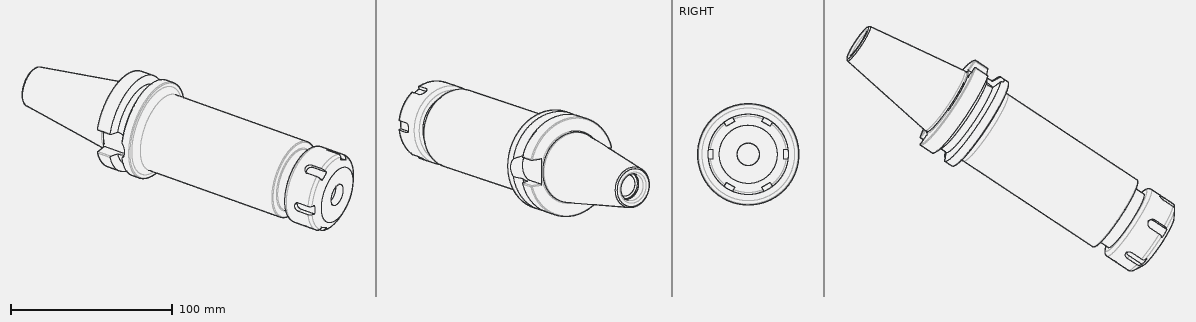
import cadquery as cq
import math

total_length = 225.8
through_bore_diameter = 13.8

taper_small_diameter = 25.7
taper_large_diameter = 44.5
taper_length = 65.5
taper_root_fillet = 0.7
taper_end_chamfer = 1.0
pull_stud_bore_diameter = 17.0
pull_stud_bore_depth = 6.5
pull_stud_mouth_fillet = 1.4
relief_diameter = 17.4
relief_width = 1.5

flange_diameter = 63.0
flange_start = 67.5
flange_end = 92.4
outer_edge_fillet = 0.59
groove_floor_diameter = 52.8
groove_start = 77.2
groove_floor_start = 79.5
groove_floor_end = 84.2
groove_end = 86.5

keyway_width = 16.0
keyway_end = 88.7
keyway_floor_offset = 22.5

body_diameter = 50.0
body_end = 194.2
body_fillet = 3.8
neck_diameter = 40.0
neck_fillet = 0.56

nut_diameter = 50.0
nut_start = 202.0
nut_back_fillet = 2.3
nut_front_fillet = 2.5
nut_face_diameter = 36.1
nut_cone_angle = 30.0
nut_front_wall = 5.5
spanner_slot_count = 6
spanner_slot_width = 6.0
spanner_slot_start = 210.5
spanner_slot_floor_offset = 22.0

neck_end = total_length - nut_front_wall


def revolve_about_x(profile):
    return profile.close().revolve(360, (0, 0, 0), (1, 0, 0))


def cylinder_along_x(diameter, start, end):
    return cq.Workplane("YZ", origin=(start, 0, 0)).circle(diameter / 2).extrude(end - start)


def round_ended_slot(width, floor_offset, start, end, outer_offset):
    """Slot on the -Y side: a round end on one X end, running to the other, above a flat floor."""
    radius = width / 2
    direction = 1 if end > start else -1
    round_centre = start + direction * radius
    return (
        cq.Workplane("XZ", origin=(0, -floor_offset, 0))
        .moveTo(end, -radius)
        .lineTo(round_centre, -radius)
        .threePointArc((start, 0), (round_centre, radius))
        .lineTo(end, radius)
        .close()
        .extrude(outer_offset - floor_offset)
    )


def holder_blank():
    small_radius = taper_small_diameter / 2
    large_radius = taper_large_diameter / 2
    flange_radius = flange_diameter / 2
    floor_radius = groove_floor_diameter / 2
    body_radius = body_diameter / 2
    neck_radius = neck_diameter / 2
    profile = (
        cq.Workplane("XY")
        .moveTo(0, 0)
        .lineTo(0, small_radius - taper_end_chamfer)
        .lineTo(taper_end_chamfer, small_radius)
        .lineTo(taper_length, large_radius)
        .lineTo(flange_start - taper_root_fillet, large_radius)
        .radiusArc((flange_start, large_radius + taper_root_fillet), -taper_root_fillet)
        .lineTo(flange_start, flange_radius)
        .lineTo(groove_start, flange_radius)
        .lineTo(groove_floor_start, floor_radius)
        .lineTo(groove_floor_end, floor_radius)
        .lineTo(groove_end, flange_radius)
        .lineTo(flange_end - outer_edge_fillet, flange_radius)
        .radiusArc((flange_end, flange_radius - outer_edge_fillet), outer_edge_fillet)
        .lineTo(flange_end, body_radius + body_fillet)
        .radiusArc((flange_end + body_fillet, body_radius), -body_fillet)
        .lineTo(body_end - outer_edge_fillet, body_radius)
        .radiusArc((body_end, body_radius - outer_edge_fillet), outer_edge_fillet)
        .lineTo(body_end, neck_radius + neck_fillet)
        .radiusArc((body_end + neck_fillet, neck_radius), -neck_fillet)
        .lineTo(neck_end, neck_radius)
        .lineTo(neck_end, 0)
    )
    return revolve_about_x(profile)


def holder_bore():
    stud_radius = pull_stud_bore_diameter / 2
    relief_radius = relief_diameter / 2
    relief_end = pull_stud_bore_depth + relief_width
    bore_radius = through_bore_diameter / 2
    profile = (
        cq.Workplane("XY")
        .moveTo(0, 0)
        .lineTo(0, stud_radius + pull_stud_mouth_fillet)
        .radiusArc((pull_stud_mouth_fillet, stud_radius), -pull_stud_mouth_fillet)
        .lineTo(pull_stud_bore_depth, stud_radius)
        .lineTo(pull_stud_bore_depth, relief_radius)
        .lineTo(relief_end, relief_radius)
        .lineTo(relief_end, bore_radius)
        .lineTo(neck_end, bore_radius)
        .lineTo(neck_end, 0)
    )
    return revolve_about_x(profile)


def make_holder():
    holder = holder_blank()
    keyway = round_ended_slot(keyway_width, keyway_floor_offset, keyway_end, flange_start, flange_diameter)
    for angle in (0, 180):
        holder = holder.cut(keyway.rotate((0, 0, 0), (1, 0, 0), angle))
    holder = round_front_flange(holder)
    return holder.cut(holder_bore())


def edges_between(body, start, end, lowest):
    """Edges that lie between two X stations and wholly above the height `lowest`."""
    margin = 0.02
    low_corner = (start - margin, -flange_diameter, lowest - margin)
    high_corner = (end + margin, flange_diameter, flange_diameter)
    return body.edges(cq.selectors.BoxSelector(low_corner, high_corner, boundingbox=True))


def round_front_flange(holder):
    """Round the outline of the front flange face and the outer edges of the keyway walls.

    The upper half is rounded, then the holder is turned half a turn to bring up the other half.
    """
    half_width = keyway_width / 2
    for _ in ("top half", "bottom half"):
        face_outline = edges_between(holder, flange_start, flange_start, half_width)
        wall_edges = edges_between(holder, flange_start, groove_start, half_width).edges("|X")
        holder = face_outline.add(wall_edges).fillet(outer_edge_fillet)
        holder = holder.rotate((0, 0, 0), (1, 0, 0), 180)
    return holder


def nut_blank():
    nut_radius = nut_diameter / 2
    face_radius = nut_face_diameter / 2
    cone_length = (nut_radius - face_radius) * math.tan(math.radians(nut_cone_angle))
    cone_start = total_length - cone_length
    profile = (
        cq.Workplane("XY")
        .moveTo(nut_start, 0)
        .lineTo(nut_start, nut_radius)
        .lineTo(cone_start, nut_radius)
        .lineTo(total_length, face_radius)
        .lineTo(total_length, 0)
    )
    nut = revolve_about_x(profile)
    back_edge = cq.selectors.NearestToPointSelector((nut_start, 0, nut_radius))
    front_edge = cq.selectors.NearestToPointSelector((cone_start, 0, nut_radius))
    return nut.edges(back_edge).fillet(nut_back_fillet).edges(front_edge).fillet(nut_front_fillet)


def make_nut():
    nut = nut_blank()
    nut = nut.cut(cylinder_along_x(neck_diameter, nut_start, neck_end))
    nut = nut.cut(cylinder_along_x(through_bore_diameter, neck_end, total_length))
    slot = round_ended_slot(
        spanner_slot_width, spanner_slot_floor_offset, spanner_slot_start, total_length, nut_diameter
    )
    for index in range(spanner_slot_count):
        nut = nut.cut(slot.rotate((0, 0, 0), (1, 0, 0), index * 360 / spanner_slot_count))
    return nut


holder = make_holder()
nut = make_nut()
result = cq.Compound.makeCompound([holder.val(), nut.val()])